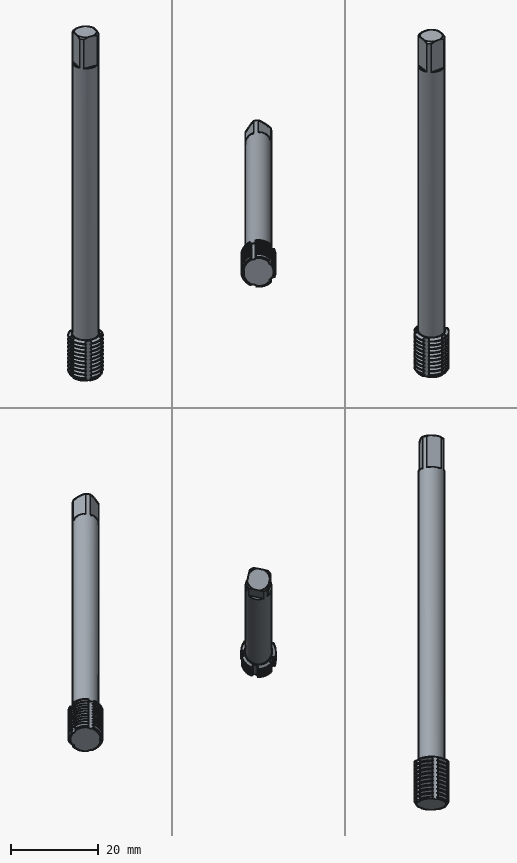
import cadquery as cq
import math

TOTAL_LENGTH = 90.0

SHANK_DIAMETER = 6.0
SQUARE_WIDTH = 4.95
SQUARE_LENGTH = 8.0
SHANK_END_DIAMETER = 5.1
SHANK_END_CHAMFER_HEIGHT = 0.4

HEAD_DIAMETER = 8.0
HEAD_LENGTH = 10.5
THREAD_RIDGES = 10.5
THREAD_DEPTH = 0.6
CREST_WIDTH = 0.2
HEAD_TOP_DIAMETER = 6.3
LEAD_DIAMETER = 6.8
LEAD_HEIGHT = 0.8

GROOVE_COUNT = 5
GROOVE_WIDTH = 1.35
GROOVE_FLOOR_RADIUS = 3.2
GROOVE_FLOOR_RISE = 0.3
FIRST_GROOVE_ANGLE = -90.0

SHANK_RADIUS = SHANK_DIAMETER / 2
HEAD_RADIUS = HEAD_DIAMETER / 2
ROOT_RADIUS = HEAD_RADIUS - THREAD_DEPTH
THREAD_PITCH = HEAD_LENGTH / THREAD_RIDGES
FLANK_HEIGHT = (THREAD_PITCH - CREST_WIDTH) / 2


def make_shank():
    """Round shank with a chamfered upper end that is milled to a square."""
    shank = (
        cq.Workplane("XY")
        .workplane(offset=HEAD_LENGTH)
        .circle(SHANK_RADIUS)
        .extrude(TOTAL_LENGTH - HEAD_LENGTH)
        .faces(">Z")
        .chamfer(SHANK_END_CHAMFER_HEIGHT, (SHANK_DIAMETER - SHANK_END_DIAMETER) / 2)
    )
    milled_ring = (
        cq.Workplane("XY")
        .workplane(offset=TOTAL_LENGTH - SQUARE_LENGTH)
        .circle(SHANK_DIAMETER)
        .rect(SQUARE_WIDTH, SQUARE_WIDTH)
        .extrude(SQUARE_LENGTH)
    )
    return shank.cut(milled_ring)


def make_head_envelope():
    """Plain head outline, tapered at the top and at the leading end."""
    return (
        cq.Workplane("XZ")
        .lineTo(LEAD_DIAMETER / 2, 0)
        .lineTo(HEAD_RADIUS, LEAD_HEIGHT)
        .lineTo(HEAD_RADIUS, HEAD_LENGTH - FLANK_HEIGHT)
        .lineTo(HEAD_TOP_DIAMETER / 2, HEAD_LENGTH)
        .lineTo(0, HEAD_LENGTH)
        .close()
        .revolve(360, (0, 0, 0), (0, 1, 0))
    )


def make_thread_valley(middle_height):
    """Ring-shaped V groove between two ridges, centred at the given height."""
    return (
        cq.Workplane("XZ")
        .moveTo(ROOT_RADIUS, middle_height)
        .lineTo(HEAD_RADIUS, middle_height + FLANK_HEIGHT)
        .lineTo(HEAD_RADIUS, middle_height - FLANK_HEIGHT)
        .close()
        .revolve(360, (0, 0, 0), (0, 1, 0))
    )


def make_grooves():
    """Straight grooves around the head with straight walls and hollow floors."""
    half_width = GROOVE_WIDTH / 2
    wall_radius = GROOVE_FLOOR_RADIUS + GROOVE_FLOOR_RISE
    groove = (
        cq.Workplane("XY")
        .moveTo(HEAD_DIAMETER, half_width)
        .lineTo(wall_radius, half_width)
        .threePointArc((GROOVE_FLOOR_RADIUS, 0), (wall_radius, -half_width))
        .lineTo(HEAD_DIAMETER, -half_width)
        .close()
        .extrude(HEAD_LENGTH)
    )
    for index in range(GROOVE_COUNT):
        angle = FIRST_GROOVE_ANGLE + index * 360 / GROOVE_COUNT
        yield groove.rotate((0, 0, 0), (0, 0, 1), angle)


def make_head():
    """Threaded and grooved head."""
    head = make_head_envelope()
    for valley in range(1, math.ceil(THREAD_RIDGES)):
        head = head.cut(make_thread_valley(HEAD_LENGTH - valley * THREAD_PITCH))
    for groove in make_grooves():
        head = head.cut(groove)
    return head


shank = make_shank()
head = make_head()

result = cq.Compound.makeCompound([shank.val(), head.val()])